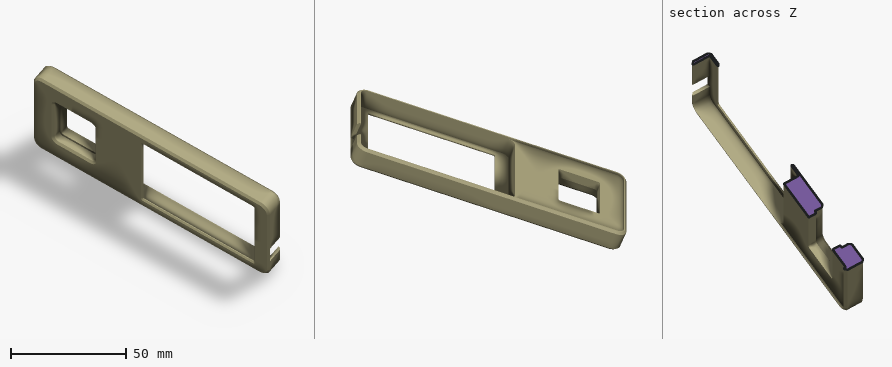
import cadquery as cq

length = 125.5
height = 50.0
thickness = 9.65
corner_radius = 5.0
edge_chamfer = 1.0

wall = 1.6
front_skin = 1.0
pocket_radius = 3.0
rebate_depth = 1.0

window_length = 59.1
window_height = 40.0
window_x = 25.15
window_radius = 0.5
window_chamfer = 0.7

recess_length = 21.8
recess_height = 27.8
recess_depth = 4.6
recess_radius = 2.25
recess_chamfer = 1.0
ledge_width = 1.2
hole_length = recess_length - 2 * ledge_width
hole_height = recess_height - 2 * ledge_width
hole_radius = recess_radius - ledge_width
keypad_margin = 11.05
keypad_x = -length / 2 + keypad_margin + recess_length / 2

notch_height = 9.0
notch_z = -9.25

pick_tolerance = 0.1


def rounded_block(size_x, size_z, radius, y_start, y_end, center_x=0.0):
    """Block with rounded corners in the XZ plane, running from y_start to y_end."""
    return (
        cq.Workplane("XY")
        .box(size_x, y_end - y_start, size_z)
        .edges("|Y")
        .fillet(radius)
        .translate((center_x, (y_start + y_end) / 2, 0))
    )


def plate():
    """Rounded plate with its front and back rims chamfered."""
    body = rounded_block(length, height, corner_radius, 0, thickness)
    return body.faces("<Y or >Y").chamfer(edge_chamfer)


def back_rebate():
    """Shallow rebate over the whole back, one wall in from the outside."""
    return rounded_block(
        length - 2 * wall, height - 2 * wall, pocket_radius, thickness - rebate_depth, thickness
    )


def display_pocket():
    """Pocket centred behind the display window, one wall short of the +X side."""
    pocket_length = 2 * (length / 2 - wall - window_x)
    pocket_height = height - 2 * wall
    return rounded_block(pocket_length, pocket_height, pocket_radius, front_skin, thickness, window_x)


def cut_chamfered_opening(body, size_x, size_z, radius, depth, chamfer, center_x):
    """Cut a rounded opening into the front face and chamfer its mouth."""
    body = body.cut(rounded_block(size_x, size_z, radius, 0, depth, center_x))
    reach_x = size_x / 2 + pick_tolerance
    reach_z = size_z / 2 + pick_tolerance
    mouth = cq.selectors.BoxSelector(
        (center_x - reach_x, -pick_tolerance, -reach_z),
        (center_x + reach_x, pick_tolerance, reach_z),
    )
    return body.edges(mouth).chamfer(chamfer)


def cut_display_window(body):
    return cut_chamfered_opening(
        body, window_length, window_height, window_radius, front_skin, window_chamfer, window_x
    )


def cut_keypad_opening(body):
    body = cut_chamfered_opening(
        body, recess_length, recess_height, recess_radius, recess_depth, recess_chamfer, keypad_x
    )
    return body.cut(rounded_block(hole_length, hole_height, hole_radius, 0, thickness, keypad_x))


def connector_notch():
    """Block that opens the +X wall from the front skin to the back face."""
    notch = cq.Workplane("XY").box(2 * wall, thickness - front_skin, notch_height)
    return notch.translate((length / 2, (front_skin + thickness) / 2, notch_z))


bezel = plate().cut(back_rebate()).cut(display_pocket())
bezel = cut_display_window(bezel)
bezel = cut_keypad_opening(bezel)
result = bezel.cut(connector_notch())